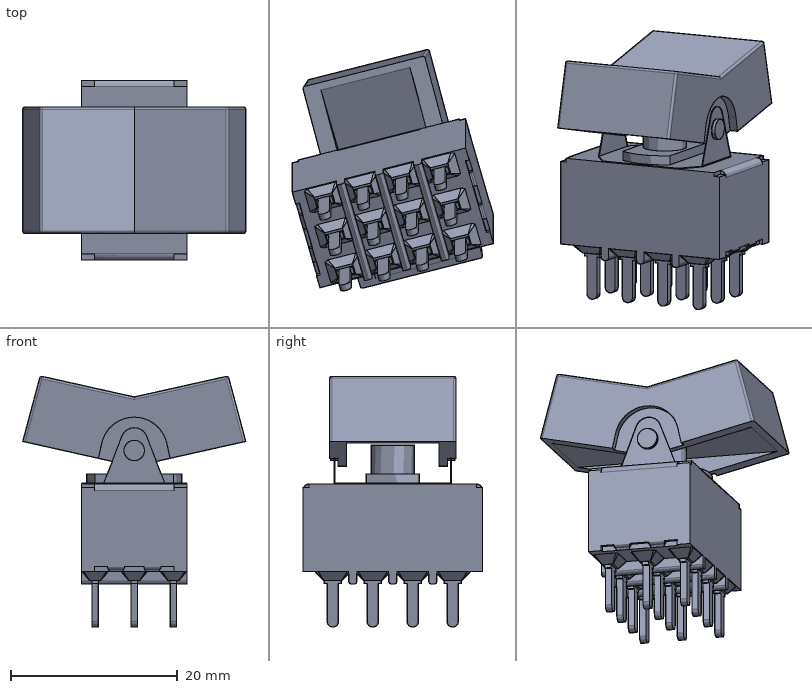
import cadquery as cq
import math


HOUSING_X = 12.7
HOUSING_Y = 21.59
HOUSING_HEIGHT = 10.54
COVER_X = 9.5
COVER_BEND_RADIUS = 0.77
CORNER_STEP_DEPTH = 0.45
CORNER_STEP_Y = 0.75
COVER_LENGTH = 9.92
COVER_THICKNESS = 0.45
CRIMP_TAB_TOP = 2.05
CRIMP_TAB_BOTTOM = 1.6
CRIMP_TAB_X = 2.18
CRIMP_TAB_LIP = 0.11

TERMINAL_PITCH_X = 4.7
TERMINAL_PITCH_Y = 4.8
TERMINAL_COLUMNS = 3
TERMINAL_ROWS = 4
TERMINAL_THICKNESS = 0.8
TERMINAL_WIDTH = 1.37
TERMINAL_TIP_Z = -17.19
SHOULDER_WIDTH = 2.06
SHOULDER_Z = -11.98
SEAL_HEIGHT = 1.04
SEAL_TIP_X = 1.38
SEAL_TIP_Y = 2.25
SEAL_BASE_X = 3.1
SEAL_BASE_Y = 4.3
SEAL_CORNER_X = 0.2
SEAL_CORNER_Y = 0.42
SEAL_TIP_CORNER_SHARE = 0.1

RIB_WIDTH = 1.0
RIB_HEIGHT = 1.5
RIB_FILLET = 0.4

COLLAR_RADIUS = 5.72
COLLAR_WIDTH = 6.4
COLLAR_HEIGHT = 1.2
STEM_DIAMETER = 5.2
STEM_HEIGHT = 4.65

SHEET = 0.1
BRACKET_Y = 14.1
PLATE_X = 12.5
PLATE_CORNER_Y = 1.95
EAR_BASE_X = 7.4
EAR_TIP_DIAMETER = 3.2
EAR_HEIGHT = 6.75

PIVOT_Z = 4.02
PIN_DIAMETER = 2.45
PIN_PROTRUSION = 0.4

ROCKER_X = 26.8
ROCKER_Y = 15.2
ROCKER_TOP_Z = 12.98
ROCKER_TILT = 12.6
ROCKER_TOP_CORNER_X = 11.3
ROCKER_BOTTOM_CORNER_Z = 5.1
ROCKER_FILLET = 0.3
SLOT_WIDTH = 11.06
SLOT_ROOF_Z = 4.9
EAR_RECESS_RADIUS = 4.0
EAR_RECESS_DEPTH = 1.0


def centred_places(count, pitch):
    return [(i - (count - 1) / 2) * pitch for i in range(count)]


def box_between(x, y, z):
    """Box from (min, max) pairs along each axis."""
    size = [high - low for low, high in (x, y, z)]
    return cq.Workplane("XY").box(*size, centered=False).translate((x[0], y[0], z[0]))


def extrude_across_y(profile, y_min, y_max):
    """Extrude a profile drawn on the XZ plane from y_min to y_max."""
    return profile.extrude(y_min - y_max).translate((0, y_min, 0))


def on_both_ends(feature):
    """Add the mirror image on the opposite Y end."""
    return feature.union(feature.mirror("XZ"))


def crimp_tab(x):
    """Tab of the cover, bent inwards under it in an S and narrowing downwards."""
    outer = -HOUSING_Y / 2
    inner = outer + COVER_THICKNESS
    bend = COVER_THICKNESS / 2
    bend_z = -COVER_LENGTH - CRIMP_TAB_LIP
    bottom_z = bend_z - 2 * bend
    diagonal = bend * math.sqrt(0.5)
    section = (
        cq.Workplane("YZ")
        .moveTo(inner, -COVER_LENGTH)
        .lineTo(outer, -COVER_LENGTH)
        .lineTo(outer, bend_z)
        .threePointArc((outer + bend - diagonal, bend_z - diagonal), (outer + bend, bend_z - bend))
        .threePointArc((outer + bend + diagonal, bottom_z + diagonal), (inner, bottom_z))
        .close()
        .extrude(CRIMP_TAB_TOP / 2, both=True)
    )
    outline = cq.Workplane("XZ").polyline([
        (-CRIMP_TAB_TOP / 2, -COVER_LENGTH),
        (CRIMP_TAB_TOP / 2, -COVER_LENGTH),
        (CRIMP_TAB_TOP / 2, bend_z),
        (CRIMP_TAB_BOTTOM / 2, bottom_z),
        (-CRIMP_TAB_BOTTOM / 2, bottom_z),
        (-CRIMP_TAB_TOP / 2, bend_z),
    ]).close()
    return section.intersect(extrude_across_y(outline, outer, inner)).translate((x, 0, 0))


def make_housing():
    end_y = -HOUSING_Y / 2
    housing = (
        box_between(
            (-HOUSING_X / 2, HOUSING_X / 2),
            (end_y, -end_y),
            (-HOUSING_HEIGHT, 0),
        )
        .edges("|X and >Z")
        .fillet(COVER_BEND_RADIUS)
    )
    for side in (-1, 1):
        step_x = sorted((side * COVER_X / 2, side * HOUSING_X / 2))
        step = box_between(step_x, (end_y, end_y + CORNER_STEP_Y), (-CORNER_STEP_DEPTH, 0))
        block = box_between(
            step_x,
            (end_y, end_y + CORNER_STEP_Y),
            (-COVER_BEND_RADIUS, -CORNER_STEP_DEPTH),
        )
        housing = housing.cut(on_both_ends(step)).union(on_both_ends(block))
    recess = box_between(
        (-COVER_X / 2, COVER_X / 2),
        (end_y, end_y + COVER_THICKNESS),
        (-HOUSING_HEIGHT, -COVER_LENGTH),
    )
    housing = housing.cut(on_both_ends(recess))
    for x in (-CRIMP_TAB_X, CRIMP_TAB_X):
        housing = housing.union(on_both_ends(crimp_tab(x)))
    return housing


def make_rib(y):
    return (
        box_between(
            (-HOUSING_X / 2, HOUSING_X / 2),
            (y - RIB_WIDTH / 2, y + RIB_WIDTH / 2),
            (-HOUSING_HEIGHT - RIB_HEIGHT, -HOUSING_HEIGHT),
        )
        .edges("|X and <Z")
        .fillet(RIB_FILLET)
    )


def cut_corner_rectangle(x_size, y_size, x_corner, y_corner):
    """Corner points of a rectangle with its four corners cut off."""
    x, y = x_size / 2, y_size / 2
    quarter = [(x, y - y_corner), (x - x_corner, y)]
    half = quarter + [(-px, py) for px, py in reversed(quarter)]
    return half + [(-px, -py) for px, py in half]


def make_seal():
    """Sealing compound around a terminal, tapering down to the terminal's shoulder."""
    base = cut_corner_rectangle(SEAL_BASE_X, SEAL_BASE_Y, SEAL_CORNER_X, SEAL_CORNER_Y)
    tip = cut_corner_rectangle(
        SEAL_TIP_X,
        SEAL_TIP_Y,
        SEAL_CORNER_X * SEAL_TIP_CORNER_SHARE,
        SEAL_CORNER_Y * SEAL_TIP_CORNER_SHARE,
    )
    return (
        cq.Workplane("XY", origin=(0, 0, -HOUSING_HEIGHT))
        .polyline(base).close()
        .workplane(offset=-SEAL_HEIGHT)
        .polyline(tip).close()
        .loft(ruled=True)
    )


def make_terminal():
    half_thickness = TERMINAL_THICKNESS / 2
    shoulder = box_between(
        (-half_thickness, half_thickness),
        (-SHOULDER_WIDTH / 2, SHOULDER_WIDTH / 2),
        (SHOULDER_Z, -HOUSING_HEIGHT),
    )
    radius = TERMINAL_WIDTH / 2
    blade = (
        cq.Workplane("YZ")
        .moveTo(-radius, SHOULDER_Z)
        .lineTo(-radius, TERMINAL_TIP_Z + radius)
        .threePointArc((0, TERMINAL_TIP_Z), (radius, TERMINAL_TIP_Z + radius))
        .lineTo(radius, SHOULDER_Z)
        .close()
        .extrude(half_thickness, both=True)
    )
    return make_seal().union(shoulder).union(blade)


def make_bushing():
    disc = cq.Workplane("XY").circle(COLLAR_RADIUS).extrude(COLLAR_HEIGHT)
    flats = cq.Workplane("XY").rect(2 * COLLAR_RADIUS, COLLAR_WIDTH).extrude(COLLAR_HEIGHT)
    stem = cq.Workplane("XY").circle(STEM_DIAMETER / 2).extrude(STEM_HEIGHT)
    return disc.intersect(flats).union(stem)


def make_ear():
    """Upright ear with straight sides running tangent into its round tip."""
    radius = EAR_TIP_DIAMETER / 2
    centre_z = EAR_HEIGHT - radius
    foot_x = EAR_BASE_X / 2
    slope = math.atan2(foot_x, centre_z) - math.asin(radius / math.hypot(foot_x, centre_z))
    tangent_x = radius * math.cos(slope)
    tangent_z = centre_z + radius * math.sin(slope)
    outline = (
        cq.Workplane("XZ")
        .moveTo(-foot_x, 0)
        .lineTo(-tangent_x, tangent_z)
        .threePointArc((0, EAR_HEIGHT), (tangent_x, tangent_z))
        .lineTo(foot_x, 0)
        .close()
    )
    return extrude_across_y(outline, -BRACKET_Y / 2, -BRACKET_Y / 2 + SHEET)


def make_bracket():
    plate = (
        cq.Workplane("XY")
        .polyline(
            cut_corner_rectangle(PLATE_X, BRACKET_Y, (PLATE_X - EAR_BASE_X) / 2, PLATE_CORNER_Y)
        )
        .close()
        .extrude(SHEET)
    )
    return plate.union(on_both_ends(make_ear()))


def make_pivot_pin():
    """Pin from the rocker's side wall out through the ear."""
    outline = cq.Workplane("XZ").center(0, PIVOT_Z).circle(PIN_DIAMETER / 2)
    return extrude_across_y(outline, -BRACKET_Y / 2 - PIN_PROTRUSION, -SLOT_WIDTH / 2)


def make_ear_recess():
    """Round-topped recess around the pivot, with sides flaring at the rocker's tilt."""
    tilt = math.radians(ROCKER_TILT)
    tangent_x = EAR_RECESS_RADIUS * math.cos(tilt)
    tangent_z = PIVOT_Z + EAR_RECESS_RADIUS * math.sin(tilt)
    foot_x = tangent_x + tangent_z * math.tan(tilt)
    outline = (
        cq.Workplane("XZ")
        .moveTo(-foot_x, 0)
        .lineTo(-tangent_x, tangent_z)
        .threePointArc((0, PIVOT_Z + EAR_RECESS_RADIUS), (tangent_x, tangent_z))
        .lineTo(foot_x, 0)
        .close()
    )
    return extrude_across_y(outline, -ROCKER_Y / 2, -ROCKER_Y / 2 + EAR_RECESS_DEPTH)


def make_rocker():
    tilt = math.tan(math.radians(ROCKER_TILT))
    valley_z = ROCKER_TOP_Z - ROCKER_TOP_CORNER_X * tilt
    keel_z = ROCKER_BOTTOM_CORNER_Z - ROCKER_X / 2 * tilt
    outline = cq.Workplane("XZ").polyline([
        (0, keel_z),
        (ROCKER_X / 2, ROCKER_BOTTOM_CORNER_Z),
        (ROCKER_TOP_CORNER_X, ROCKER_TOP_Z),
        (0, valley_z),
        (-ROCKER_TOP_CORNER_X, ROCKER_TOP_Z),
        (-ROCKER_X / 2, ROCKER_BOTTOM_CORNER_Z),
    ]).close()
    body = extrude_across_y(outline, -ROCKER_Y / 2, ROCKER_Y / 2)
    above_bottom = cq.selectors.BoxSelector(
        (-ROCKER_X, -ROCKER_Y, ROCKER_BOTTOM_CORNER_Z + ROCKER_FILLET),
        (ROCKER_X, ROCKER_Y, 2 * ROCKER_TOP_Z),
    )
    valley = cq.selectors.BoxSelector(
        (-ROCKER_FILLET, -ROCKER_FILLET, valley_z - ROCKER_FILLET),
        (ROCKER_FILLET, ROCKER_FILLET, valley_z + ROCKER_FILLET),
    )
    body = body.edges(above_bottom - valley).fillet(ROCKER_FILLET)
    slot = box_between(
        (-ROCKER_X / 2, ROCKER_X / 2), (-SLOT_WIDTH / 2, SLOT_WIDTH / 2), (0, SLOT_ROOF_Z)
    )
    return body.cut(slot).cut(on_both_ends(make_ear_recess()))


result = make_housing().union(make_bushing()).union(make_bracket())
for rib_y in centred_places(TERMINAL_ROWS - 1, TERMINAL_PITCH_Y):
    result = result.union(make_rib(rib_y))
terminal = make_terminal()
for terminal_x in centred_places(TERMINAL_COLUMNS, TERMINAL_PITCH_X):
    for terminal_y in centred_places(TERMINAL_ROWS, TERMINAL_PITCH_Y):
        result = result.union(terminal.translate((terminal_x, terminal_y, 0)))
result = result.union(make_rocker()).union(on_both_ends(make_pivot_pin()))